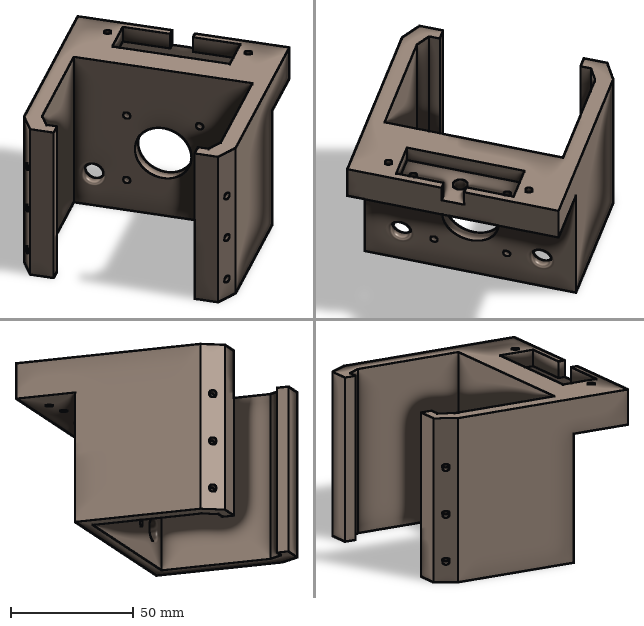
import cadquery as cq
import math

width = 90.0
depth = 90.1
height = 70.0
half_width = width / 2

plate_thickness = 5.0
side_thickness = 7.0
channel_depth = 64.1
lip_reach = 15.0
lip_thickness = 5.0
bend_angle = math.radians(60)
outer_bend_run = 5.0
outer_bend_rise = outer_bend_run * math.tan(bend_angle)
inner_bend_run = 3.5
inner_bend_rise = inner_bend_run * math.tan(bend_angle)

block_height = 15.0
pocket_length = 50.0
pocket_width = 15.9
pocket_depth = 7.0
pocket_rear_wall = 3.1
notch_width = 9.6
pocket_rear_y = depth - pocket_rear_wall
pocket_center_y = pocket_rear_y - pocket_width / 2

screw_diameter = 3.0
shaft_diameter = 6.0
block_screw_spacing = 59.8
block_screw_setback = 8.6
pocket_screw_spacing = 40.0
motor_bore_diameter = 24.0
motor_screw_spacing = 31.0
motor_center_z = 30.0
access_diameter = 8.0
access_rim_diameter = 12.0
access_rim_radius = (access_rim_diameter - access_diameter) / 2
access_inset = 15.0
lip_hole_depth = 5.0
lip_hole_first_z = 9.0
lip_hole_pitch = 20.0
lip_hole_count = 3


def make_channel():
    """Extrude the U section with inward-bent lips along Z."""
    inner_x = half_width - side_thickness
    right_half = [
        (half_width, channel_depth),
        (half_width, outer_bend_rise),
        (half_width - outer_bend_run, 0),
        (half_width - lip_reach, 0),
        (half_width - lip_reach, lip_thickness),
        (inner_x - inner_bend_run, lip_thickness),
        (inner_x, lip_thickness + inner_bend_rise),
        (inner_x, channel_depth - plate_thickness),
    ]
    left_half = [(-x, y) for x, y in reversed(right_half)]
    return cq.Workplane("XY").polyline(right_half + left_half).close().extrude(height)


def box_on_top(length, front_y, rear_y, drop):
    """Make a centred box hanging down from the top face."""
    return (
        cq.Workplane("XY", origin=(0, 0, height - drop))
        .center(0, (front_y + rear_y) / 2)
        .rect(length, rear_y - front_y)
        .extrude(drop)
    )


def block_hole(x, y, diameter):
    """Make a vertical cutter through the mounting block."""
    return (
        cq.Workplane("XY", origin=(x, y, height - block_height))
        .circle(diameter / 2)
        .extrude(block_height)
    )


def plate_hole(x, z, diameter):
    """Make a cutter along Y through the rear plate of the channel."""
    return (
        cq.Workplane("XZ", origin=(x, channel_depth, z))
        .circle(diameter / 2)
        .extrude(plate_thickness)
    )


def round_access_rims(body, x, z):
    """Round both rims of an access hole through the rear plate."""
    reach = access_diameter
    slack = 0.1
    rims = cq.selectors.BoxSelector(
        (x - reach, channel_depth - plate_thickness - slack, z - reach),
        (x + reach, channel_depth + slack, z + reach),
        boundingbox=True,
    )
    return body.edges("%CIRCLE").edges(rims).fillet(access_rim_radius)


def lip_hole(side, z):
    """Make a blind cutter square to the slanted outer face of one lip."""
    inward = cq.Vector(-side * math.sin(bend_angle), math.cos(bend_angle), 0)
    face_center = cq.Vector(side * (half_width - outer_bend_run / 2), outer_bend_rise / 2, z)
    return cq.Workplane(cq.Solid.makeCylinder(screw_diameter / 2, lip_hole_depth, face_center, inward))


result = make_channel().union(box_on_top(width, channel_depth, depth, block_height))

result = result.cut(box_on_top(pocket_length, pocket_rear_y - pocket_width, pocket_rear_y, pocket_depth))
result = result.cut(box_on_top(notch_width, pocket_rear_y, depth, pocket_depth))

result = result.cut(block_hole(0, pocket_center_y, shaft_diameter))
result = result.cut(plate_hole(0, motor_center_z, motor_bore_diameter))

for side in (-1, 1):
    result = result.cut(block_hole(side * block_screw_spacing / 2, depth - block_screw_setback, screw_diameter))
    result = result.cut(block_hole(side * pocket_screw_spacing / 2, pocket_center_y, screw_diameter))

    for level in (-1, 1):
        screw_z = motor_center_z + level * motor_screw_spacing / 2
        result = result.cut(plate_hole(side * motor_screw_spacing / 2, screw_z, screw_diameter))

    access_x = side * (half_width - access_inset)
    result = result.cut(plate_hole(access_x, access_inset, access_diameter))
    result = round_access_rims(result, access_x, access_inset)

    for index in range(lip_hole_count):
        result = result.cut(lip_hole(side, lip_hole_first_z + index * lip_hole_pitch))